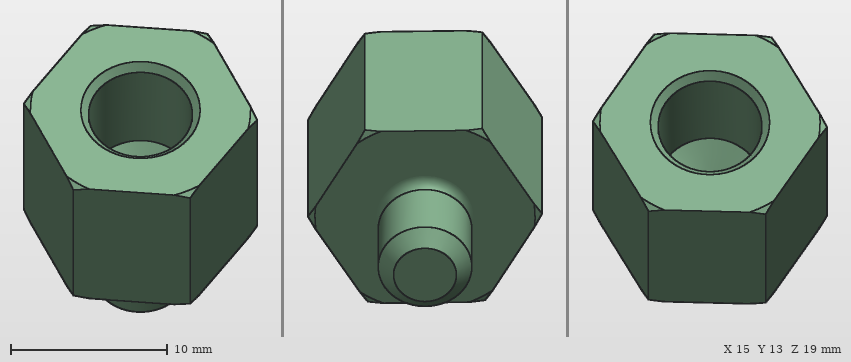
import cadquery as cq
import math

total_height = 19.0
hex_height = 12.0
across_flats = 13.0
across_corners = across_flats / math.cos(math.radians(30))

face_circle_radius = 7.05
corner_chamfer_height = 0.2

stud_length = total_height - hex_height
stud_radius = 6.0 / 2
stud_chamfer = 0.99
neck_radius = 4.7 / 2
groove_radius = 0.75

hole_radius = 6.65 / 2
hole_depth = 7.98
countersink_depth = 0.5
drill_point_angle = 118.0


def revolved(outline):
    """Close an XZ outline and turn it about the Z axis."""
    return outline.close().revolve(360, (0, 0, 0), (0, 1, 0))


def make_hexagon():
    prism = cq.Workplane("XY").polygon(6, across_corners).extrude(hex_height)
    corner_radius = across_corners / 2
    envelope = revolved(
        cq.Workplane("XZ")
        .lineTo(face_circle_radius, 0)
        .lineTo(corner_radius, corner_chamfer_height)
        .lineTo(corner_radius, hex_height - corner_chamfer_height)
        .lineTo(face_circle_radius, hex_height)
        .lineTo(0, hex_height)
    )
    return prism.intersect(envelope)


def make_stud():
    groove_centre = neck_radius + groove_radius
    groove_drop = math.sqrt(groove_radius**2 - (groove_centre - stud_radius) ** 2)
    return revolved(
        cq.Workplane("XZ")
        .lineTo(groove_centre, 0)
        .radiusArc((neck_radius, -groove_radius), -groove_radius)
        .radiusArc((stud_radius, -groove_radius - groove_drop), -groove_radius)
        .lineTo(stud_radius, -stud_length + stud_chamfer)
        .lineTo(stud_radius - stud_chamfer, -stud_length)
        .lineTo(0, -stud_length)
    )


def make_hole():
    floor_z = hex_height - hole_depth
    point_depth = hole_radius / math.tan(math.radians(drill_point_angle / 2))
    return revolved(
        cq.Workplane("XZ")
        .moveTo(0, hex_height)
        .lineTo(hole_radius + countersink_depth, hex_height)
        .lineTo(hole_radius, hex_height - countersink_depth)
        .lineTo(hole_radius, floor_z)
        .lineTo(0, floor_z - point_depth)
    )


result = make_hexagon().union(make_stud()).cut(make_hole())